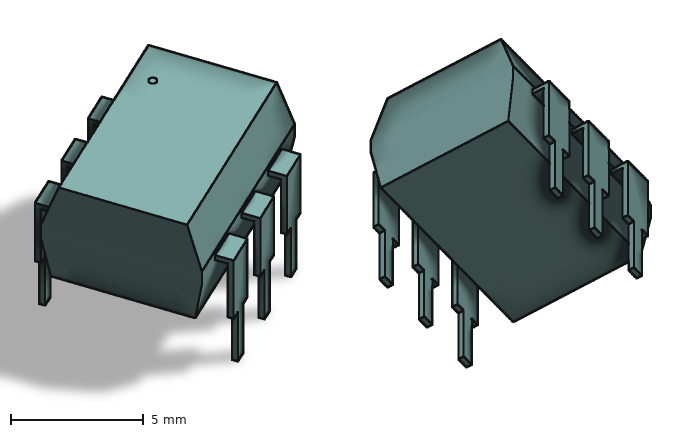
import cadquery as cq

HOUSING_LENGTH = 8.89
HOUSING_WIDTH = 6.6
TOP_LENGTH = 8.59
TOP_WIDTH = 5.25
BASE_LENGTH = 8.55
BASE_WIDTH = 5.9
BAND_HEIGHT = 0.65
TAPER_HEIGHT = 2.02
OVERALL_HEIGHT = 7.75

LEAD_SPAN = 8.13
LEAD_THICKNESS = 0.25
LEAD_PITCH = 2.54
LEADS_PER_SIDE = 3
LEAD_DROP = 5.51
SHOULDER_WIDTH = 1.32
SHOULDER_DROP = 2.99
TIP_WIDTH = 0.525

MARKER_DIAMETER = 0.33
MARKER_DEPTH = 0.09
MARKER_X = -1.7
MARKER_Y = 2.54

BAND_TOP = BAND_HEIGHT / 2
HOUSING_TOP = BAND_TOP + TAPER_HEIGHT
LEAD_TOP = LEAD_DROP + HOUSING_TOP - OVERALL_HEIGHT


def tapered_block(end_width, end_length, direction):
    """Block that narrows from the waist band outward, up (+1) or down (-1)."""
    return (
        cq.Workplane("XY", origin=(0, 0, direction * BAND_TOP))
        .rect(HOUSING_WIDTH, HOUSING_LENGTH)
        .workplane(offset=direction * TAPER_HEIGHT)
        .rect(end_width, end_length)
        .loft(ruled=True)
    )


def make_marker():
    return (
        cq.Workplane("XY", origin=(MARKER_X, MARKER_Y, HOUSING_TOP))
        .circle(MARKER_DIAMETER / 2)
        .extrude(-MARKER_DEPTH)
    )


def make_housing():
    band = cq.Workplane("XY").box(HOUSING_WIDTH, HOUSING_LENGTH, BAND_HEIGHT)
    upper = tapered_block(TOP_WIDTH, TOP_LENGTH, 1)
    lower = tapered_block(BASE_WIDTH, BASE_LENGTH, -1)
    return band.union(upper).union(lower).cut(make_marker())


def make_lead(side, y):
    """Lead on the -X (-1) or +X (+1) side, butting against the waist band."""
    outer = side * LEAD_SPAN / 2
    inner = side * (LEAD_SPAN / 2 - LEAD_THICKNESS)
    root = side * HOUSING_WIDTH / 2
    lead_underside = LEAD_TOP - LEAD_THICKNESS
    shoulder_bottom = LEAD_TOP - SHOULDER_DROP
    shoulder = (
        cq.Workplane("XZ", origin=(0, y, 0))
        .moveTo(root, LEAD_TOP)
        .lineTo(outer, LEAD_TOP)
        .lineTo(outer, shoulder_bottom)
        .lineTo(inner, shoulder_bottom)
        .lineTo(inner, lead_underside)
        .lineTo(root, lead_underside)
        .close()
        .extrude(SHOULDER_WIDTH / 2, both=True)
    )
    tip_length = LEAD_DROP - SHOULDER_DROP
    tip = cq.Workplane("XY").box(LEAD_THICKNESS, TIP_WIDTH, tip_length).translate(
        ((outer + inner) / 2, y, shoulder_bottom - tip_length / 2)
    )
    return shoulder.union(tip)


housing = make_housing()
marker = make_marker()
leads = []
for side in (-1, 1):
    for row in range(LEADS_PER_SIDE):
        row_y = (row - (LEADS_PER_SIDE - 1) / 2) * LEAD_PITCH
        leads.append(make_lead(side, row_y).val())

result = cq.Compound.makeCompound([housing.val(), marker.val(), *leads])